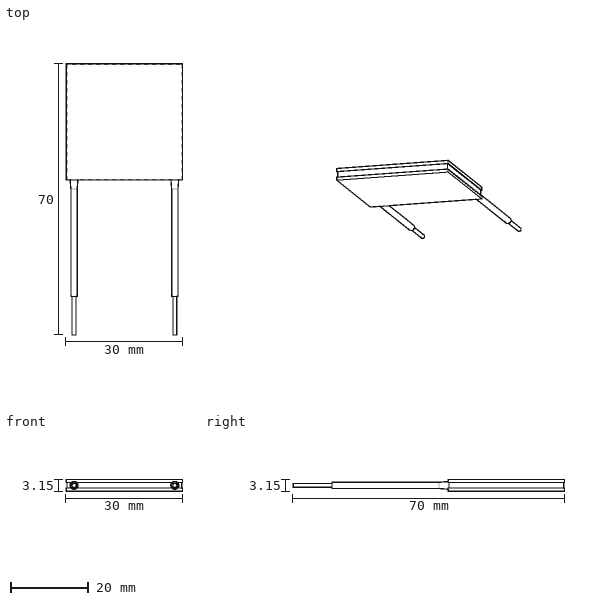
import cadquery as cq

total_length = 70.0
plate_side = 30.0
body_height = 3.15
plate_thickness = 0.85
core_inset = 0.2

lead_spacing = 26.0
collar_base_diameter = 2.1
collar_length = 2.5
insulation_diameter = 1.7
conductor_diameter = 1.05
conductor_length = 10.0

core_height = body_height - 2 * plate_thickness
core_side = plate_side - 2 * core_inset
core_front_y = -core_side / 2
collar_end_y = core_front_y - collar_length
tip_y = plate_side / 2 - total_length
insulation_end_y = tip_y + conductor_length


def make_body():
    """Stack the core between the two plates."""
    body = cq.Workplane("XY").box(core_side, core_side, core_height)
    for side in (-1, 1):
        plate_z = side * (body_height - plate_thickness) / 2
        plate = cq.Workplane("XY").box(plate_side, plate_side, plate_thickness)
        body = body.union(plate.translate((0, 0, plate_z)))
    return body


def make_lead(x):
    """Revolve the stepped half profile of a lead about its own axis."""
    collar_radius = collar_base_diameter / 2
    insulation_radius = insulation_diameter / 2
    conductor_radius = conductor_diameter / 2
    lead = (
        cq.Workplane("XY")
        .moveTo(0, core_front_y)
        .lineTo(collar_radius, core_front_y)
        .lineTo(insulation_radius, collar_end_y)
        .lineTo(insulation_radius, insulation_end_y)
        .lineTo(conductor_radius, insulation_end_y)
        .lineTo(conductor_radius, tip_y)
        .lineTo(0, tip_y)
        .close()
        .revolve(360, (0, 0, 0), (0, 1, 0))
    )
    return lead.translate((x, 0, 0))


result = make_body()
for lead_x in (-lead_spacing / 2, lead_spacing / 2):
    result = result.union(make_lead(lead_x))